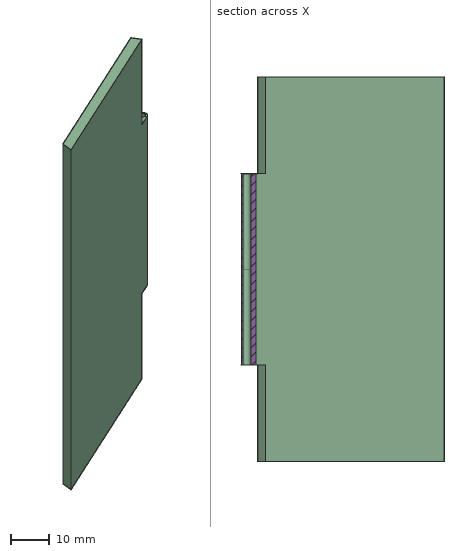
import cadquery as cq
import math

height = 100.0
thickness = 3.0
tilt = 49.0
drop = 51.3
shoulder_distance = 5.0
knuckle_height = 49.8
pin_diameter = 2.0

half_thickness = thickness / 2
along = (math.cos(math.radians(tilt)), -math.sin(math.radians(tilt)))
across = (-along[1], along[0])


def leaf_point(distance, offset):
    """Point at a distance from the pin axis along the leaf, offset from its mid-plane."""
    return (
        distance * along[0] + offset * across[0],
        distance * along[1] + offset * across[1],
    )


def distance_to_cut(offset):
    """Length along the leaf, at the given offset, to the cut plane Y = -drop."""
    return (drop + offset * across[1]) / -along[1]


def centered_prism(profile, prism_height):
    """Extrude a closed XY profile symmetrically about Z = 0."""
    return profile.extrude(prism_height / 2, both=True)


leaf_profile = cq.Workplane("XY").polyline([
    leaf_point(shoulder_distance, half_thickness),
    leaf_point(distance_to_cut(half_thickness), half_thickness),
    leaf_point(distance_to_cut(-half_thickness), -half_thickness),
    leaf_point(shoulder_distance, -half_thickness),
]).close()
leaf = centered_prism(leaf_profile, height)

knuckle_profile = (
    cq.Workplane("XY")
    .moveTo(*leaf_point(shoulder_distance, half_thickness))
    .lineTo(*leaf_point(0, half_thickness))
    .threePointArc(leaf_point(-half_thickness, 0), leaf_point(0, -half_thickness))
    .lineTo(*leaf_point(shoulder_distance, -half_thickness))
    .close()
)
knuckle = centered_prism(knuckle_profile, knuckle_height)

pin_hole = centered_prism(cq.Workplane("XY").circle(pin_diameter / 2), knuckle_height)

result = leaf.union(knuckle).cut(pin_hole)